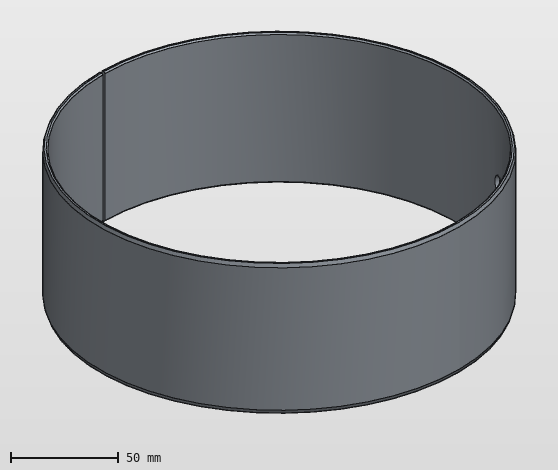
import cadquery as cq

outer_diameter = 220.0
height = 80.0
wall = 2.5
outer_bevel_height = 2.0
outer_bevel_depth = 0.7
inner_bevel = 0.77
slit_width = 1.5
hole_diameter = 10.0
hole_angle = 59.0

outer_radius = outer_diameter / 2
inner_radius = outer_radius - wall
half_height = height / 2


def band():
    """Thin round band with steep outer bevels and 45-degree inner bevels on both rims."""
    rim_outer = outer_radius - outer_bevel_depth
    rim_inner = inner_radius + inner_bevel
    outer_bevel_start = half_height - outer_bevel_height
    inner_bevel_start = half_height - inner_bevel
    profile = [
        (rim_inner, -half_height),
        (rim_outer, -half_height),
        (outer_radius, -outer_bevel_start),
        (outer_radius, outer_bevel_start),
        (rim_outer, half_height),
        (rim_inner, half_height),
        (inner_radius, inner_bevel_start),
        (inner_radius, -inner_bevel_start),
    ]
    return cq.Workplane("XZ").polyline(profile).close().revolve(360, (0, 0), (0, 1))


def slit():
    """Full-height cutter that splits the band on the -X side, with one face on the XZ plane."""
    cutter = cq.Workplane("XY").box(outer_radius, slit_width, height)
    return cutter.translate((-outer_radius, slit_width / 2, 0))


def radial_hole():
    """Cutter for the single hole through the wall at mid-height."""
    cutter = cq.Workplane("YZ").circle(hole_diameter / 2).extrude(outer_diameter)
    return cutter.rotate((0, 0, 0), (0, 0, 1), hole_angle)


result = band().cut(slit()).cut(radial_hole())